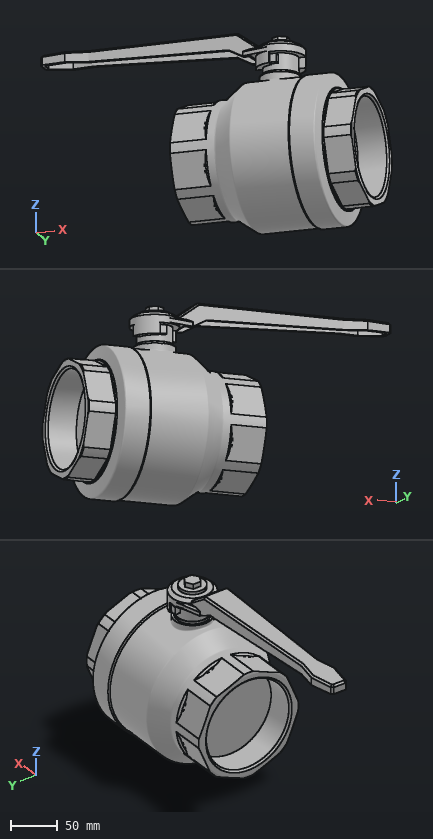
import cadquery as cq
import math


body_half_length = 103.5
collar_radius = 66.0
octagon_apothem = 63.0
octagon_sides = 8
flats_runout_start = -66.5
flats_runout_knee = -64.4
flats_runout_knee_radius = 63.7
flats_runout_end = -61.7
cone_start = -51.7
cone_end = -29.5
body_radius = 82.0
cone_rounding = 3.0
rim_start = 37.3
rim_bevel = 1.9
rim_radius = 83.5
rim_end = 67.6
rim_rounding = 2.0
cap_foot = 70.5
cap_foot_radius = 67.0
cap_end = 72.0
outlet_chamfer = 1.0
inlet_bevel_radius = 62.7
inlet_bevel_depth = 0.5

bore_radius = 54.6
bore_mouth_radius = 57.0
bore_mouth_chamfer = 2.4
bore_depth = 35.0

neck_radius = 23.0
neck_top = 87.5
neck_fillet = 1.5
gland_radius = 20.0
gland_top = 90.5
stem_radius = 19.5

hub_radius = 27.0
hub_bottom = 109.5
hub_chamfer_bottom = 118.0
hub_top = 122.0
hub_top_radius = 22.5
washer_radius = 15.6
washer_top = 125.5
bolt_across_flats = 17.0
bolt_top = 131.5
bolt_sides = 6

lug_bottom = 97.2
lug_offset = 4.4
stop_bottom = 98.0
stop_top = 107.5
stop_half_width = 3.8
stop_reach = 25.5

lever_top = 137.5
lever_tip = -270.0
tip_half_width = 10.0
tip_thickness = 11.0
grip_x = -240.0
grip_half_width = 15.8
waist_x = -214.7
waist_half_width = 10.8
crank_top_x = -43.7
crank_foot_x = -21.0
crank_foot_z = 121.0
root_half_width = 17.5
lower_bend_x = -54.0
lower_bend_z = 119.5
wing_start = -37.4
wing_bottom = 110.7
wing_top = 117.7
lever_chamfer = 2.3
lever_wall = 4.0


def cylinder(radius, bottom, top):
    return cq.Workplane("XY").workplane(offset=bottom).circle(radius).extrude(top - bottom)


def revolved(points):
    """Revolve an (x, radius) outline about the flow axis."""
    return cq.Workplane("XY").polyline(points).close().revolve(360, (0, 0, 0), (1, 0, 0))


def circle_at(x):
    """Select the circular edges of the body centred on the flow axis at x."""
    reach = 0.1
    return cq.selectors.BoxSelector((x - reach, -reach, -reach), (x + reach, reach, reach))


def make_octagon_bar(start, end):
    """Octagonal bar along X with corners on Y and Z."""
    corner_diameter = 2 * octagon_apothem / math.cos(math.pi / octagon_sides)
    plane = cq.Workplane("YZ").workplane(offset=start)
    return plane.polygon(octagon_sides, corner_diameter).extrude(end - start)


def make_inlet_flats():
    """Cutter for the flats at the -X end, running out in two conical steps."""
    start = -body_half_length
    runout_length = flats_runout_end - flats_runout_knee
    runout_slope = (collar_radius - flats_runout_knee_radius) / runout_length
    clear_radius = body_radius
    clear_end = flats_runout_end + (clear_radius - collar_radius) / runout_slope
    envelope = revolved([
        (start, 0),
        (start, clear_radius),
        (clear_end, clear_radius),
        (flats_runout_knee, flats_runout_knee_radius),
        (flats_runout_start, octagon_apothem),
        (flats_runout_start, 0),
    ])
    return envelope.cut(make_octagon_bar(start, clear_end))


def make_outlet_flats():
    """Cutter for the flats at the +X end, stopping square at the cap."""
    plane = cq.Workplane("YZ").workplane(offset=cap_end)
    envelope = plane.circle(body_radius).extrude(body_half_length - cap_end)
    return envelope.cut(make_octagon_bar(cap_end, body_half_length))


def make_body():
    """Turned body with the stem neck blended on to its top."""
    shell = revolved([
        (-body_half_length, 0),
        (-body_half_length, inlet_bevel_radius),
        (-body_half_length + inlet_bevel_depth, collar_radius),
        (cone_start, collar_radius),
        (cone_end, body_radius),
        (rim_start, body_radius),
        (rim_start + rim_bevel, rim_radius),
        (rim_end, rim_radius),
        (cap_foot, cap_foot_radius),
        (cap_end, collar_radius),
        (body_half_length - outlet_chamfer, collar_radius),
        (body_half_length, collar_radius - outlet_chamfer),
        (body_half_length, 0),
    ])
    shell = shell.edges(circle_at(cone_start)).fillet(cone_rounding)
    shell = shell.edges(circle_at(cone_end)).fillet(cone_rounding)
    shell = shell.edges(circle_at(rim_end)).fillet(rim_rounding)
    neck = cylinder(neck_radius, 0, neck_top)
    reach = neck_radius + neck_fillet
    neck_joint = cq.selectors.BoxSelector(
        (-reach, -reach, body_radius - neck_radius),
        (reach, reach, body_radius + neck_fillet),
    )
    return shell.union(neck).edges(neck_joint).edges("not %LINE").fillet(neck_fillet)


def make_socket():
    """Socket cutter at the -X end."""
    mouth = -body_half_length
    floor = mouth + bore_depth
    return revolved([
        (mouth, 0),
        (mouth, bore_mouth_radius),
        (mouth + bore_mouth_chamfer, bore_radius),
        (floor, bore_radius),
        (floor, 0),
    ])


def make_hub():
    """Round hub of the lever with the washer and hexagon bolt head on top."""
    hub = cylinder(hub_radius, hub_bottom, hub_top)
    hub = hub.faces(">Z").chamfer(hub_top - hub_chamfer_bottom, hub_radius - hub_top_radius)
    washer = cylinder(washer_radius, hub_top, washer_top)
    bolt_diameter = bolt_across_flats / math.cos(math.pi / bolt_sides)
    flats_across_x = 180 / bolt_sides
    bolt = cq.Workplane("XY").workplane(offset=washer_top).polygon(bolt_sides, bolt_diameter)
    bolt = bolt.extrude(bolt_top - washer_top).rotate((0, 0, 0), (0, 0, 1), flats_across_x)
    return hub.union(washer).union(bolt)


def make_stops():
    """Two opposite quadrant lugs under the hub and the fixed stops on the stem."""
    ring = cylinder(hub_radius, lug_bottom, hub_bottom)
    lug_span = hub_radius - lug_offset
    lug_middle = lug_offset + lug_span / 2
    quadrants = (
        cq.Workplane("XY")
        .workplane(offset=lug_bottom)
        .pushPoints([(lug_middle, lug_middle), (-lug_middle, -lug_middle)])
        .rect(lug_span, lug_span)
        .extrude(hub_bottom - lug_bottom)
    )
    fixed_stops = (
        cq.Workplane("XY")
        .workplane(offset=stop_bottom)
        .rect(2 * stop_half_width, 2 * stop_reach)
        .extrude(stop_top - stop_bottom)
    )
    return ring.intersect(quadrants).union(fixed_stops)


def lever_plan(inset, tip):
    """Plan outline of the arm, drawn in by the inset at each side."""
    half = [
        (tip, tip_half_width - inset),
        (grip_x, grip_half_width - inset),
        (waist_x, waist_half_width - inset),
        (crank_foot_x, root_half_width - inset),
    ]
    mirrored = [(x, -y) for x, y in reversed(half)]
    plan = cq.Workplane("XY").workplane(offset=hub_bottom).polyline(half + mirrored).close()
    return plan.extrude(lever_top - hub_bottom)


def side_profile(points):
    """Slab with the given (x, z) outline, wider than the lever."""
    depth = grip_half_width + root_half_width
    return cq.Workplane("XZ").polyline(points).close().extrude(depth, both=True)


def make_lever():
    """Cranked arm with a bevelled top and tip, before hollowing."""
    side = side_profile([
        (lever_tip, lever_top),
        (crank_top_x, lever_top),
        (crank_foot_x, crank_foot_z),
        (crank_foot_x, wing_bottom),
        (wing_start, wing_bottom),
        (lower_bend_x, lower_bend_z),
        (lever_tip, lever_top - tip_thickness),
    ])
    arm = lever_plan(0, lever_tip).intersect(side)
    arm = arm.edges("|Z and <X").chamfer(lever_chamfer)
    crank_ends = cq.selectors.BoxSelector(
        (crank_top_x, -2 * root_half_width, crank_foot_z - lever_chamfer),
        (crank_foot_x - lever_chamfer, 2 * root_half_width, lever_top - lever_chamfer),
    )
    upper_edges = arm.faces(">Z").edges("not(>X)").add(arm.edges(crank_ends))
    return upper_edges.chamfer(lever_chamfer)


def make_lever_hollow():
    """Channel in the underside, leaving walls at the top, sides and tip."""
    crank_slope = (lever_top - crank_foot_z) / (crank_foot_x - crank_top_x)
    roof_height = lever_top - lever_wall - hub_bottom
    hollow_end = -hub_radius
    hollow_side = side_profile([
        (lever_tip, lever_top - lever_wall),
        (hollow_end - roof_height / crank_slope, lever_top - lever_wall),
        (hollow_end, hub_bottom),
        (lever_tip, hub_bottom),
    ])
    return lever_plan(lever_wall, lever_tip + lever_wall).intersect(hollow_side)


def make_wings():
    """Flat plate running from the arm tangentially on to the hub."""
    start_distance = math.hypot(wing_start, root_half_width)
    start_angle = math.atan2(root_half_width, wing_start)
    tangent_angle = start_angle - math.acos(hub_radius / start_distance)
    tangent_x = hub_radius * math.cos(tangent_angle)
    tangent_y = hub_radius * math.sin(tangent_angle)
    plate = cq.Workplane("XY").workplane(offset=wing_bottom).polyline([
        (wing_start, root_half_width),
        (tangent_x, tangent_y),
        (tangent_x, -tangent_y),
        (wing_start, -root_half_width),
    ])
    plate = plate.close().extrude(wing_top - wing_bottom)
    return plate.faces(">Z").edges("not |Y").chamfer(lever_chamfer)


gland = cylinder(gland_radius, neck_top, gland_top)
stem = cylinder(stem_radius, gland_top, hub_bottom)
socket = make_socket()

body = make_body().cut(make_inlet_flats()).cut(make_outlet_flats())
body = body.cut(socket).cut(socket.mirror("YZ"))
lever = make_lever().union(make_wings()).cut(make_lever_hollow())

result = body.union(gland).union(stem).union(make_stops()).union(lever).union(make_hub())